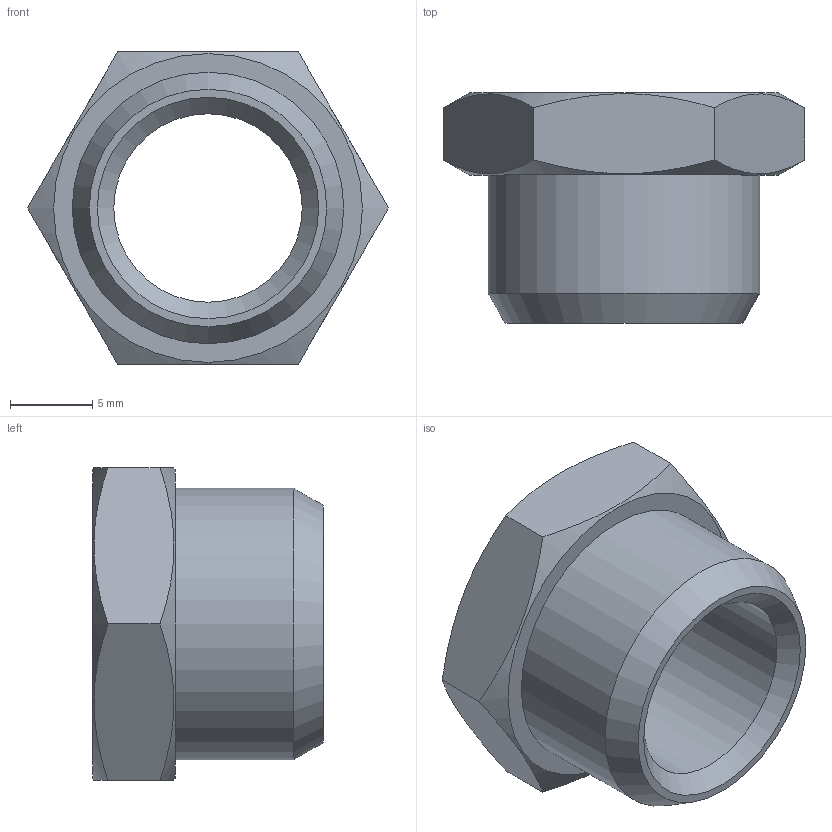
import cadquery as cq
import math

HEX_SIDES = 6

across_flats = 19.0
head_length = 5.0
head_face_diameter = 18.77
head_chamfer_angle = 30.0
shank_diameter = 16.5
total_length = 14.0
tip_chamfer_length = 1.8
tip_chamfer_angle = 30.0
bore_diameter = 11.45
countersink_diameter = 13.45
countersink_angle = 45.0

across_corners = across_flats / math.cos(math.pi / HEX_SIDES)
corner_radius = across_corners / 2
face_radius = head_face_diameter / 2
corner_drop = (corner_radius - face_radius) * math.tan(math.radians(head_chamfer_angle))
shank_radius = shank_diameter / 2
tip_radius = shank_radius - tip_chamfer_length * math.tan(math.radians(tip_chamfer_angle))
bore_radius = bore_diameter / 2
countersink_radius = countersink_diameter / 2
countersink_depth = (countersink_radius - bore_radius) / math.tan(math.radians(countersink_angle))

head_end = head_length
tip_end = head_length - total_length


def revolve_about_y(points):
    """Revolve a closed (radius, y) outline about the Y axis."""
    return cq.Workplane("XY").polyline(points).close().revolve(360, (0, 0, 0), (0, 1, 0))


def make_head():
    """Hexagon with corners on X, its corners coned off at both faces."""
    hexagon = cq.Workplane("XZ").polygon(HEX_SIDES, across_corners).extrude(-head_length)
    cone_envelope = revolve_about_y([
        (0, 0),
        (face_radius, 0),
        (corner_radius, corner_drop),
        (corner_radius, head_end - corner_drop),
        (face_radius, head_end),
        (0, head_end),
    ])
    return hexagon.intersect(cone_envelope)


def make_shank():
    """Round shank with a tapered tip."""
    return revolve_about_y([
        (0, 0),
        (shank_radius, 0),
        (shank_radius, tip_end + tip_chamfer_length),
        (tip_radius, tip_end),
        (0, tip_end),
    ])


def make_bore():
    """Through bore with a countersink at the shank tip."""
    return revolve_about_y([
        (0, tip_end),
        (countersink_radius, tip_end),
        (bore_radius, tip_end + countersink_depth),
        (bore_radius, head_end),
        (0, head_end),
    ])


result = make_head().union(make_shank()).cut(make_bore())